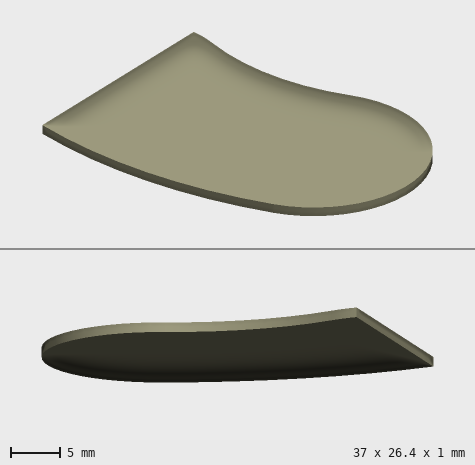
import cadquery as cq
import math

length = 37.05
width = 26.35
thickness = 1.0
lobe_radius = 12.1
axis_x = 11.85
waist_height = 24.0

nose_x = length - lobe_radius
lobe_y = width - lobe_radius
lobe_offset = nose_x - axis_x
left_lobe_x = axis_x - lobe_offset

waist_drop = waist_height - lobe_y
waist_radius = (lobe_offset**2 + waist_drop**2 - lobe_radius**2) / (2 * (lobe_radius - waist_drop))
waist_y = waist_height + waist_radius

bottom_radius = (lobe_offset**2 + lobe_y**2 - lobe_radius**2) / (2 * (lobe_y - lobe_radius))

waist_share = lobe_radius / (lobe_radius + waist_radius)
waist_joint_dx = lobe_offset * (1 - waist_share)
waist_joint_y = lobe_y + (waist_y - lobe_y) * waist_share
nose_share = lobe_radius / (bottom_radius - lobe_radius)
bottom_joint = (nose_x + lobe_offset * nose_share, lobe_y - (bottom_radius - lobe_y) * nose_share)


def left_lobe_point(x):
    """Point on the upper half of the left lobe."""
    return (x, lobe_y + math.sqrt(lobe_radius**2 - (x - left_lobe_x) ** 2))


left_joint = (axis_x - waist_joint_dx, waist_joint_y)
right_joint = (axis_x + waist_joint_dx, waist_joint_y)
bottom_left = (0, bottom_radius - math.sqrt(bottom_radius**2 - axis_x**2))

result = (
    cq.Workplane("XY")
    .moveTo(*bottom_left)
    .threePointArc((axis_x, 0), bottom_joint)
    .threePointArc((length, lobe_y), right_joint)
    .threePointArc((axis_x, waist_height), left_joint)
    .threePointArc(left_lobe_point(left_joint[0] / 2), left_lobe_point(0))
    .close()
    .extrude(thickness)
)